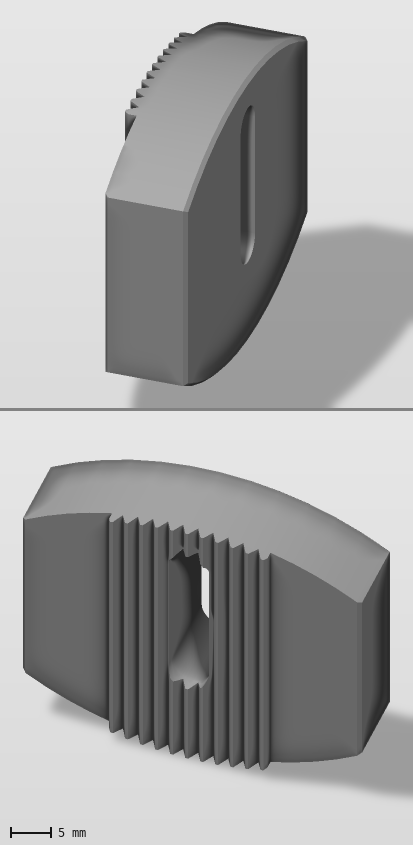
import cadquery as cq

thickness = 12.6
width = 45.0
height = 38.0
end_height = 25.4
edge_chamfer = 0.5

rack_height = 1.65
tooth_depth = 1.45
tooth_pitch = 2.0
tooth_count = 11
crest_width = 0.35
rack_width = 21.0

slot_width = 5.3
slot_length = 22.35
slot_offset = 3.9


def lens_blank(start_x, end_x):
    """Flat-ended outline with arched top and bottom, extruded along X."""
    half_width = width / 2
    half_end = end_height / 2
    return (
        cq.Workplane("YZ", origin=(start_x, 0, 0))
        .moveTo(-half_width, -half_end)
        .threePointArc((0, -height / 2), (half_width, -half_end))
        .lineTo(half_width, half_end)
        .threePointArc((0, height / 2), (-half_width, half_end))
        .close()
        .extrude(end_x - start_x)
    )


def make_body():
    """Main plate, bevelled around the rear and along the front end edges."""
    body = lens_blank(rack_height, thickness)
    body = body.faces(">X").chamfer(edge_chamfer)
    return body.faces("<X").edges("|Z").chamfer(edge_chamfer)


def make_rack():
    """Trapezoidal teeth along Y, trimmed to the arched outline."""
    half_rack = rack_width / 2
    valley_slope = (tooth_pitch - crest_width) / 2 / tooth_depth
    first_crest = -tooth_pitch * (tooth_count - 1) / 2
    corner_run = half_rack + first_crest - crest_width / 2
    corner_x = corner_run / valley_slope

    outline = [(rack_height, -half_rack), (corner_x, -half_rack)]
    for tooth in range(tooth_count):
        crest = first_crest + tooth * tooth_pitch
        outline.append((0, crest - crest_width / 2))
        outline.append((0, crest + crest_width / 2))
        if tooth < tooth_count - 1:
            outline.append((tooth_depth, crest + tooth_pitch / 2))
    outline += [(corner_x, half_rack), (rack_height, half_rack)]

    teeth = cq.Workplane("XY").polyline(outline).close().extrude(height / 2, both=True)
    return teeth.intersect(lens_blank(0, rack_height))


def make_slot():
    """Vertical round-ended slot passing through the whole thickness."""
    return (
        cq.Workplane("YZ")
        .center(0, slot_offset)
        .slot2D(slot_length, slot_width, 90)
        .extrude(thickness)
    )


result = make_body().union(make_rack()).cut(make_slot())